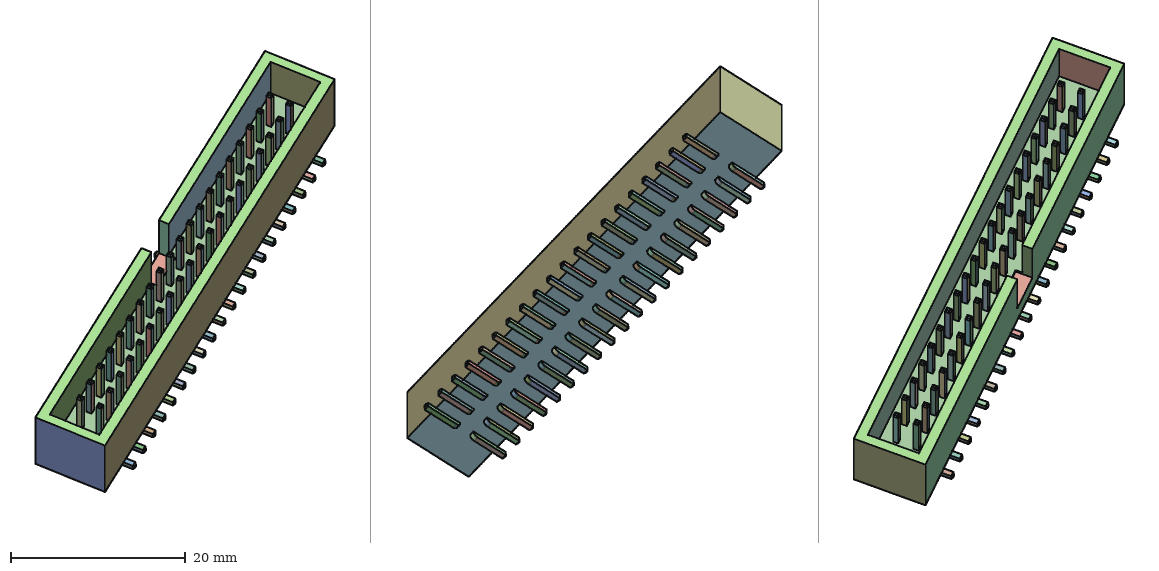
import cadquery as cq


overall_height = 9.65
body_length = 58.4
body_width = 8.95
side_wall = 1.3
end_wall = 1.1
cavity_depth = 6.0

notch_width = 4.45
notch_reach = 2.1
notch_depth = 6.35

row_count = 20
row_length = 48.25
pitch = row_length / (row_count - 1)
pin_size = 0.65
pin_recess = 0.3
tip_chamfer = 0.2
foot_span = 11.6
bend_radius = 0.6

body_bottom = pin_size
cavity_floor = overall_height - cavity_depth
notch_floor = overall_height - notch_depth
pin_top = overall_height - pin_recess


def block(size_x, size_y, bottom, top):
    """Return a block centred on the Z axis between two heights."""
    base = cq.Workplane("XY").workplane(offset=bottom)
    return base.rect(size_x, size_y).extrude(top - bottom)


def make_housing():
    """Return the open box with its keying notch."""
    cavity_width = body_width - 2 * side_wall
    cavity_length = body_length - 2 * end_wall
    notch_x = (notch_reach - body_width) / 2

    shell = block(body_width, body_length, body_bottom, overall_height)
    cavity = block(cavity_width, cavity_length, cavity_floor, overall_height)
    notch = block(notch_reach, notch_width, notch_floor, overall_height)
    return shell.cut(cavity).cut(notch.translate((notch_x, 0, 0)))


def make_pin():
    """Return an L-shaped pin of the +X column, with its foot pointing to +X."""
    post_x = pitch / 2
    inner_x = post_x - pin_size / 2
    foot_length = foot_span / 2 - inner_x
    foot_x = inner_x + foot_length / 2

    post = block(pin_size, pin_size, 0, pin_top).faces(">Z").chamfer(tip_chamfer)
    foot = block(foot_length, pin_size, 0, pin_size).faces(">X").chamfer(tip_chamfer)
    pin = post.translate((post_x, 0, 0)).union(foot.translate((foot_x, 0, 0)))

    return pin.edges("|Y and <X and <Z").fillet(bend_radius)


right_pin = make_pin()
left_pin = right_pin.rotate((0, 0, 0), (0, 0, 1), 180)

result = make_housing()
for row in range(row_count):
    row_y = row * pitch - row_length / 2
    for pin in (left_pin, right_pin):
        result = result.union(pin.translate((0, row_y, 0)))